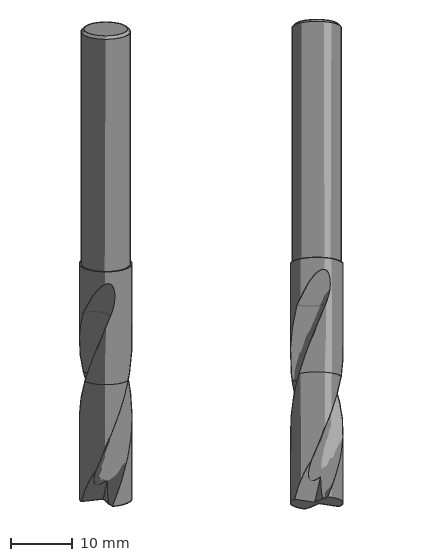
import cadquery as cq
import math

tool_length = 80.0
neck_top = 40.0
joint_height = 20.8
flute_end = 32.4

cutting_diameter = 8.53
shank_diameter = 8.0
cutting_radius = cutting_diameter / 2
shank_chamfer = 0.45

flute_count = 2
helix_angle = 22.0
flute_lead = math.pi * cutting_diameter / math.tan(math.radians(helix_angle))
twist_per_mm = 360.0 / flute_lead
flute_tip_angle = -84.8
flute_half_angle = 34.5
core_radius = 0.5 * cutting_radius
runout_lean_angle = 31.5
runout_rise_angle = 12.5

gash_direction = -45.0
gash_lean_angle = 26.5
gash_web_offset = 0.5
gash_center_offset = 0.2
gash_width = 2 * cutting_radius
gash_height = 6.0

clearance = 1.0


def polar(radius, angle):
    """Point at a radius and an angle in degrees about the tool axis."""
    turn = math.radians(angle)
    return (radius * math.cos(turn), radius * math.sin(turn))


def flute_profile(height, angle):
    """Horizontal flute section: a round bottom that is open past the cutting diameter."""
    left_edge = polar(cutting_radius, angle + flute_half_angle)
    right_edge = polar(cutting_radius, angle - flute_half_angle)
    outward = polar(clearance, angle)
    return (
        cq.Workplane("XY", origin=(0, 0, height))
        .moveTo(*right_edge)
        .threePointArc(polar(core_radius, angle), left_edge)
        .lineTo(left_edge[0] + outward[0], left_edge[1] + outward[1])
        .lineTo(right_edge[0] + outward[0], right_edge[1] + outward[1])
        .close()
    )


def helical_flute(tip_angle):
    """Flute of constant section that twists up from just below the tip."""
    length = flute_end + clearance
    start_angle = tip_angle - clearance * twist_per_mm
    return flute_profile(-clearance, start_angle).twistExtrude(length, length * twist_per_mm)


def flute_runout(tip_angle):
    """Flute end that leaves the helix on a straight line and climbs out through the surface."""
    angle = tip_angle + flute_end * twist_per_mm
    outward = cq.Vector(*polar(1, angle)) * math.tan(math.radians(runout_rise_angle))
    sideways = cq.Vector(*polar(1, angle + 90)) * math.tan(math.radians(runout_lean_angle))
    path = (outward + sideways + cq.Vector(0, 0, 1)) * (neck_top - flute_end)
    outline = flute_profile(flute_end, angle).wire().val()
    return cq.Workplane(cq.Solid.extrudeLinear(outline, [], path))


def end_gash(turn):
    """Notch at the tip: a square prism whose inner corner follows the leaning wall."""
    along = cq.Vector(*polar(1, gash_direction))
    across = cq.Vector(*polar(1, gash_direction - 90))
    inner_corner = along * gash_center_offset + across * gash_web_offset
    outline = cq.Wire.makePolygon(
        [
            inner_corner,
            inner_corner + along * gash_width,
            inner_corner + (along + across) * gash_width,
            inner_corner + across * gash_width,
        ],
        close=True,
    )
    lean = along * (gash_height * math.tan(math.radians(gash_lean_angle)))
    rise = lean + cq.Vector(0, 0, gash_height)
    notch = cq.Solid.extrudeLinear(outline, [], rise)
    return cq.Workplane(notch).rotate((0, 0, 0), (0, 0, 1), turn)


shank = (
    cq.Workplane("XZ")
    .polyline(
        [
            (0, joint_height),
            (cutting_radius, joint_height),
            (cutting_radius, neck_top),
            (shank_diameter / 2, neck_top),
            (shank_diameter / 2, tool_length - shank_chamfer),
            (shank_diameter / 2 - shank_chamfer, tool_length),
            (0, tool_length),
        ]
    )
    .close()
    .revolve(360, (0, 0, 0), (0, 1, 0))
)

head = cq.Workplane("XY").circle(cutting_radius).extrude(joint_height)

for i in range(flute_count):
    turn = i * 360.0 / flute_count
    flute = helical_flute(flute_tip_angle + turn)
    head = head.cut(flute).cut(end_gash(turn))
    shank = shank.cut(flute).cut(flute_runout(flute_tip_angle + turn))

result = cq.Compound.makeCompound([shank.val(), head.val()])